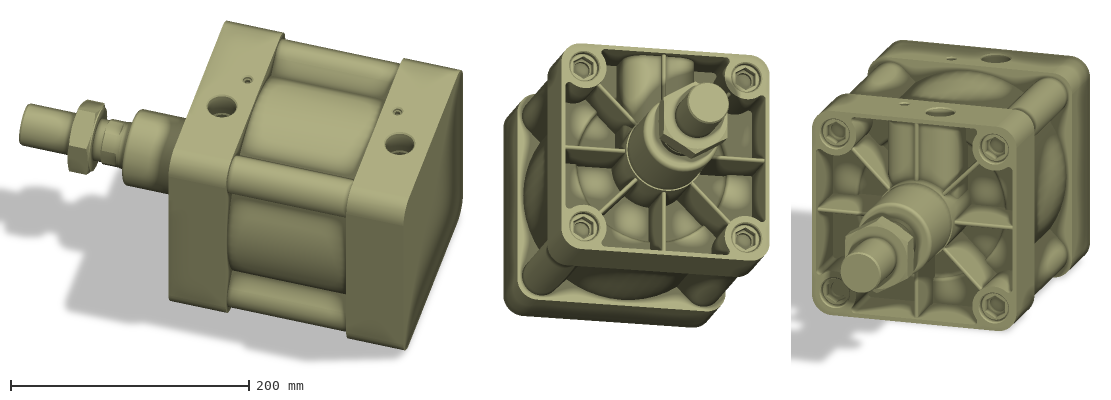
import cadquery as cq
import math


total_length = 357.0
cap_thickness = 50.0
head_front = 151.7
head_back = head_front + cap_thickness
rear_back = total_length
rear_front = rear_back - cap_thickness
head_port_x = head_front + cap_thickness / 2
rear_port_x = rear_front + cap_thickness / 2

cap_side = 180.0
cap_half = cap_side / 2
cap_corner_radius = 17.0
wall = 3.5
tie_rod_offset = 70.0
boss_radius = 19.0
pocket_corner_radius = 3.2
floor_thickness = 3.0
pocket_depth = cap_thickness - floor_thickness

rib_thickness = 3.5
rib_setback = 4.3
rib_count = 8
recess_diameter = 129.5
recess_edge_radius = 3.0
recess_depth = 2 * recess_edge_radius
floor_end = head_front + pocket_depth + recess_depth

barrel_diameter = 170.0
lobe_radius = 16.0

hub_diameter = 68.0
collar_diameter = 65.7
collar_front = 94.0
collar_edge_radius = 3.2

port_y = -15.0
port_diameter = 20.0
port_mouth_diameter = 26.5
port_mouth_depth = 1.0
port_thread_diameter = 24.3
port_thread_depth = 21.5
post_half_spacing = 13.2
post_radius = 17.5
post_setback = 2.0
post_x = head_port_x + post_setback
screw_y = 20.5
screw_inset = 12.0
screw_mouth_diameter = 10.0
screw_mouth_depth = 1.0
screw_hole_diameter = 7.5
screw_hole_depth = 3.0
screw_hex_across_flats = 4.3
screw_hex_depth = 5.7

socket_mouth_diameter = 27.0
socket_diameter = 25.5
socket_depth = 5.7
socket_chamfer = (socket_mouth_diameter - socket_diameter) / 2
head_diameter = 24.3
head_setback = 3.5
head_chamfer = 0.7
hex_across_flats = 17.0
hex_depth = 10.7
socket_core_diameter = 14.0
socket_core_depth = 14.3

rod_diameter = 40.0
rod_end = rear_front
thread_diameter = 36.0
thread_chamfer_length = 1.8
thread_chamfer_depth = 1.0
flats_diameter = 39.0
flats_start = 71.5
flats_end = 84.3
flats_chamfer_length = 1.0
flats_across = 36.0
neck_end = 87.5
nut_front = 45.5
nut_thickness = 18.0
nut_across_flats = 55.0
nut_chamfer_length = 1.5
nut_face_diameter = 55.0
nut_face_height = 1.0

CORNERS = [(y, z) for y in (-tie_rod_offset, tie_rod_offset) for z in (-tie_rod_offset, tie_rod_offset)]


def plane_at(x):
    """Plane across the axis at x: local x is +Y, local y is +Z, normal +X."""
    return cq.Workplane(cq.Plane(origin=(x, 0, 0), xDir=(0, 1, 0), normal=(1, 0, 0)))


def rod_piece(x, length, diameter, center=(0, 0)):
    return plane_at(x).center(*center).circle(diameter / 2).extrude(length)


def hexagon(x, length, across_flats, center=(0, 0)):
    """Hexagonal prism along X with two flats facing +Y and -Y."""
    prism = cq.Workplane("XY").polygon(6, across_flats / math.cos(math.pi / 6)).extrude(length)
    prism = prism.rotate((0, 0, 0), (0, 1, 0), 90)
    return prism.translate((x, center[0], center[1]))


def cap(x):
    return plane_at(x).rect(cap_side, cap_side).extrude(cap_thickness).edges("|X").fillet(cap_corner_radius)


def head_pocket():
    """Open space in the front of the head, with the hub, bosses, ribs and port post left standing."""
    pocket_side = cap_side - 2 * wall
    pocket = plane_at(head_front).rect(pocket_side, pocket_side).extrude(pocket_depth)
    for y, z in CORNERS:
        boss = rod_piece(head_front, pocket_depth, 2 * boss_radius, (y, z))
        corner_y = y + math.copysign(boss_radius / 2, y)
        corner_z = z + math.copysign(boss_radius / 2, z)
        corner = plane_at(head_front).center(corner_y, corner_z)
        corner = corner.rect(boss_radius, boss_radius).extrude(pocket_depth)
        pocket = pocket.cut(boss).cut(corner)
    pocket = pocket.edges("|X").fillet(pocket_corner_radius)
    pocket = pocket.union(floor_recess())
    pocket = pocket.cut(rod_piece(head_front, pocket_depth + recess_depth, hub_diameter))
    for i in range(rib_count):
        pocket = pocket.cut(rib(i * 360 / rib_count))
    return pocket.cut(port_post())


def floor_recess():
    """Round recess in the pocket floor, its rim rounded at the top and at the bottom."""
    r = recess_diameter / 2
    arc = recess_edge_radius
    floor = head_front + pocket_depth
    outline = cq.Workplane("XY").moveTo(floor, 0).lineTo(floor, r + arc)
    outline = outline.radiusArc((floor + arc, r), -arc)
    outline = outline.radiusArc((floor + recess_depth, r - arc), arc)
    outline = outline.lineTo(floor + recess_depth, 0).close()
    return outline.revolve(360, (0, 0, 0), (1, 0, 0))


def rib(angle):
    """Radial rib with a rounded front edge."""
    nose = head_front + rib_setback + rib_thickness / 2
    web = cq.Workplane("XY").box(floor_end - nose, cap_half, rib_thickness, centered=(False, False, True))
    edge = cq.Workplane("XZ").circle(rib_thickness / 2).extrude(-cap_half)
    return web.union(edge).translate((nose, 0, 0)).rotate((0, 0, 0), (1, 0, 0), angle)


def port_post():
    """Round-sided post that carries the port from the top wall to the hub."""
    post = cq.Workplane("XY").center(post_x, 0)
    post = post.slot2D(2 * (post_half_spacing + post_radius), 2 * post_radius, 90).extrude(cap_half)
    back = cq.Workplane("XY").box(
        floor_end - post_x, 2 * (post_half_spacing + post_radius), cap_half, centered=(False, True, False)
    )
    return post.union(back.translate((post_x, 0, 0)))


def barrel():
    length = rear_front - head_back
    body = rod_piece(head_back, length, barrel_diameter)
    diagonal = tie_rod_offset * math.sqrt(2)
    for i in range(4):
        web = plane_at(head_back).center(diagonal / 2, 0).rect(diagonal, 2 * lobe_radius).extrude(length)
        web = web.union(rod_piece(head_back, length, 2 * lobe_radius, (diagonal, 0)))
        body = body.union(web.rotate((0, 0, 0), (1, 0, 0), 45 + 90 * i))
    return body


def collar():
    bar = rod_piece(collar_front, head_front - collar_front, collar_diameter)
    return bar.faces("<X").edges().fillet(collar_edge_radius)


def drill_down(x, y, depth, diameter):
    """Vertical blind hole from the top face."""
    hole = cq.Workplane("XY").workplane(offset=cap_half - depth).center(x, y)
    return hole.circle(diameter / 2).extrude(depth)


def countersink(x, y, top_diameter, bottom_diameter, depth):
    """Cone that narrows downward from the top face."""
    cone = cq.Workplane("XY").workplane(offset=cap_half).center(x, y).circle(top_diameter / 2)
    return cone.workplane(offset=-depth).circle(bottom_diameter / 2).loft()


def port(x):
    """Stepped port drilled down to the cylinder axis, with a tapered mouth."""
    mouth = countersink(x, port_y, port_mouth_diameter, port_thread_diameter, port_mouth_depth)
    thread = drill_down(x, port_y, port_thread_depth, port_thread_diameter)
    return mouth.union(thread).union(drill_down(x, port_y, cap_half, port_diameter))


def cushion_screw(x):
    """Countersunk hole with the screw's hexagon socket in its floor."""
    hole = countersink(x, screw_y, screw_mouth_diameter, screw_hole_diameter, screw_mouth_depth)
    hole = hole.union(drill_down(x, screw_y, screw_hole_depth, screw_hole_diameter))
    hexagon_socket = cq.Workplane("XY").workplane(offset=cap_half - screw_hex_depth).center(x, screw_y)
    hexagon_socket = hexagon_socket.polygon(6, screw_hex_across_flats / math.cos(math.pi / 6))
    return hole.union(hexagon_socket.extrude(screw_hex_depth))


def tie_rod_socket(center):
    hole = rod_piece(head_front, socket_depth, socket_diameter, center)
    mouth = plane_at(head_front).center(*center).circle(socket_mouth_diameter / 2)
    mouth = mouth.workplane(offset=socket_chamfer).circle(socket_diameter / 2).loft()
    hole = hole.union(mouth)
    screw_head = rod_piece(head_front + head_setback, socket_depth - head_setback, head_diameter, center)
    hole = hole.cut(screw_head.faces("<X").chamfer(head_chamfer))
    hole = hole.union(hexagon(head_front, hex_depth, hex_across_flats, center))
    return hole.union(rod_piece(head_front, socket_core_depth, socket_core_diameter, center))


def make_housing():
    body = cap(head_front).union(barrel()).union(cap(rear_front))
    body = body.cut(head_pocket()).union(collar())
    for port_x, direction in ((head_port_x, 1), (rear_port_x, -1)):
        body = body.cut(port(port_x)).cut(cushion_screw(port_x + direction * screw_inset))
    for center in CORNERS:
        body = body.cut(tie_rod_socket(center))
    return body.cut(rod_piece(collar_front, rear_port_x - collar_front, rod_diameter))


def make_rod():
    """Piston rod with its threaded end, four wrench flats and lock nut in one piece."""
    thread_r = thread_diameter / 2
    outline = [
        (0, 0),
        (0, thread_r - thread_chamfer_depth),
        (thread_chamfer_length, thread_r),
        (flats_start, thread_r),
        (flats_start + flats_chamfer_length, flats_diameter / 2),
        (neck_end, flats_diameter / 2),
        (neck_end, rod_diameter / 2),
        (rod_end, rod_diameter / 2),
        (rod_end, 0),
    ]
    rod = cq.Workplane("XY").polyline(outline).close().revolve(360, (0, 0, 0), (1, 0, 0))
    return rod.cut(wrench_flats()).union(lock_nut())


def wrench_flats():
    """Material removed around a square; each flat runs out on a 45 degree ramp."""
    ramp_length = (rod_diameter - flats_across) / 2
    flats_length = flats_end - flats_start
    sleeve = rod_piece(flats_start, flats_length + ramp_length, 2 * rod_diameter)
    square = plane_at(flats_start).rect(flats_across, flats_across).extrude(flats_length)
    ramp = plane_at(flats_end).rect(flats_across, flats_across).extrude(ramp_length, taper=-45)
    return sleeve.cut(square).cut(ramp)


def lock_nut():
    corner_diameter = nut_across_flats / math.cos(math.pi / 6)
    chamfer_depth = (corner_diameter - nut_across_flats) / 2
    envelope = rod_piece(nut_front, nut_thickness, corner_diameter)
    envelope = envelope.edges().chamfer(nut_chamfer_length, chamfer_depth)
    nut = hexagon(nut_front, nut_thickness, nut_across_flats).intersect(envelope)
    return nut.union(rod_piece(nut_front + nut_thickness, nut_face_height, nut_face_diameter))


housing = make_housing()
rod = make_rod()
result = cq.Compound.makeCompound([housing.val(), rod.val()])